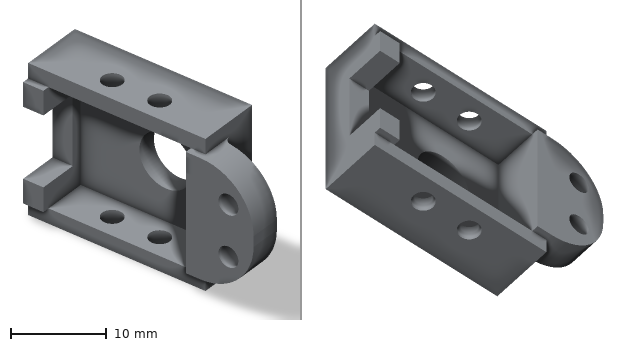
import cadquery as cq

total_length = 30.37
total_depth = 8.9
height = 19.2
body_length = 23.35
side_wall = 1.95
left_wall = 2.67
right_wall = 1.9
side_wall_setback = 0.88
floor_depth = 6.4

notch_height = 9.08
notch_depth = 5.05

tab_thickness = 4.0
tab_corner_radius = 7.0
tab_root_fillet = 1.0

small_hole_diameter = 2.6
floor_hole_diameter = 7.0
floor_hole_x = 13.9
side_hole_xs = (8.93, 15.2)
side_hole_y = 3.67
tab_hole_x = 27.05
tab_hole_spacing = 6.6

inner_height = height - 2 * side_wall
cavity_length = body_length - left_wall - right_wall


def block(x_start, y_start, length, depth, block_height):
    """Box placed by its low X and Y sides and centred on the mid-plane."""
    box = cq.Workplane("XY").box(length, depth, block_height, centered=(False, False, True))
    return box.translate((x_start, y_start, 0))


def hole_along_y(x, z, diameter):
    """Cylinder through the whole depth."""
    cylinder = cq.Workplane("XZ").circle(diameter / 2).extrude(-total_depth)
    return cylinder.translate((x, 0, z))


def hole_along_z(x, y, diameter):
    """Cylinder through both side walls."""
    cylinder = cq.Workplane("XY").circle(diameter / 2).extrude(height / 2, both=True)
    return cylinder.translate((x, y, 0))


def rounded_tab(thickness):
    """Rounded tab of the given thickness, starting inside the right end wall at the open face."""
    tab_start = body_length - right_wall
    tab = block(tab_start, 0, total_length - tab_start, thickness, inner_height)
    return tab.edges("|Y and >X").fillet(tab_corner_radius)


body = block(0, side_wall_setback, body_length, total_depth - side_wall_setback, height)
body = body.union(block(0, 0, body_length, total_depth, inner_height))

root_fillet = (
    cq.Workplane("XY")
    .moveTo(body_length, tab_thickness)
    .lineTo(body_length + tab_root_fillet, tab_thickness)
    .radiusArc((body_length, tab_thickness + tab_root_fillet), tab_root_fillet)
    .close()
    .extrude(inner_height / 2, both=True)
    .intersect(rounded_tab(tab_thickness + tab_root_fillet))
)
result = body.union(rounded_tab(tab_thickness)).union(root_fillet)

result = result.cut(block(left_wall, 0, cavity_length, floor_depth, inner_height))
result = result.cut(block(0, 0, left_wall, notch_depth, notch_height))

result = result.cut(hole_along_y(floor_hole_x, 0, floor_hole_diameter))
for hole_x in side_hole_xs:
    result = result.cut(hole_along_z(hole_x, side_hole_y, small_hole_diameter))
for side in (-1, 1):
    result = result.cut(hole_along_y(tab_hole_x, side * tab_hole_spacing / 2, small_hole_diameter))